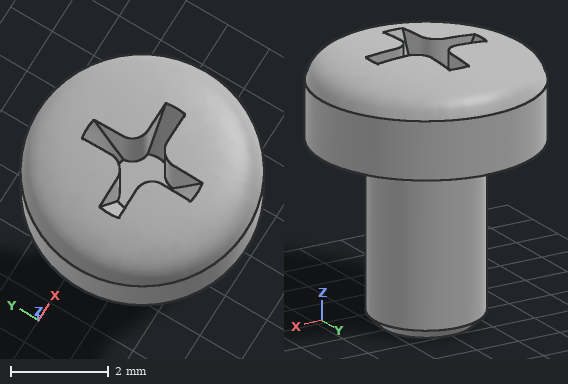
import cadquery as cq

total_height = 6.0
head_diameter = total_height * 5 / 6
shank_diameter = head_diameter / 2
shank_length = total_height * 2 / 3
tip_chamfer = 0.25

apex_allowance = 0.005
dome_height = 0.71
shoulder_pull_inset = 0.13
shoulder_pull_rise = 0.47
crown_pull_radius = 2.1

recess_depth = 1.59
recess_floor_radius = 0.635
recess_top_radius = 1.33
recess_rim_drop = 0.035
arm_width = 0.46
arm_corner_radius = 0.385
cutter_clearance = 0.06

head_radius = head_diameter / 2
shank_radius = shank_diameter / 2
apex_height = total_height + apex_allowance
dome_base = apex_height - dome_height


def make_body():
    """Revolve the half profile of the shank and the domed head."""
    return (
        cq.Workplane("XZ")
        .lineTo(shank_radius - tip_chamfer, 0)
        .lineTo(shank_radius, tip_chamfer)
        .lineTo(shank_radius, shank_length)
        .lineTo(head_radius, shank_length)
        .lineTo(head_radius, dome_base)
        .bezier(
            [
                (head_radius - shoulder_pull_inset, dome_base + shoulder_pull_rise),
                (crown_pull_radius, apex_height),
                (0, apex_height),
            ],
            includeCurrent=True,
        )
        .close()
        .revolve(360, (0, 0, 0), (0, 1, 0))
    )


def make_recess():
    """Cross prism with rounded inner corners, trimmed by a cone."""
    floor_z = total_height - recess_depth
    cutter_height = recess_depth + cutter_clearance
    taper = (recess_top_radius - recess_floor_radius) / (recess_depth - recess_rim_drop)
    cutter_radius = recess_floor_radius + taper * cutter_height
    arm_length = 2 * cutter_radius + 2 * cutter_clearance

    floor = cq.Workplane("XY", origin=(0, 0, floor_z))
    arm_x = floor.rect(arm_length, arm_width).extrude(cutter_height)
    arm_y = floor.rect(arm_width, arm_length).extrude(cutter_height)
    inner_corners = cq.selectors.BoxSelector(
        (-arm_width, -arm_width, floor_z),
        (arm_width, arm_width, floor_z + cutter_height),
    )
    cross = arm_x.union(arm_y).edges("|Z").edges(inner_corners).fillet(arm_corner_radius)

    cone = cq.Solid.makeCone(
        recess_floor_radius, cutter_radius, cutter_height, pnt=cq.Vector(0, 0, floor_z)
    )
    return cross.intersect(cq.Workplane(cone))


result = make_body().cut(make_recess())